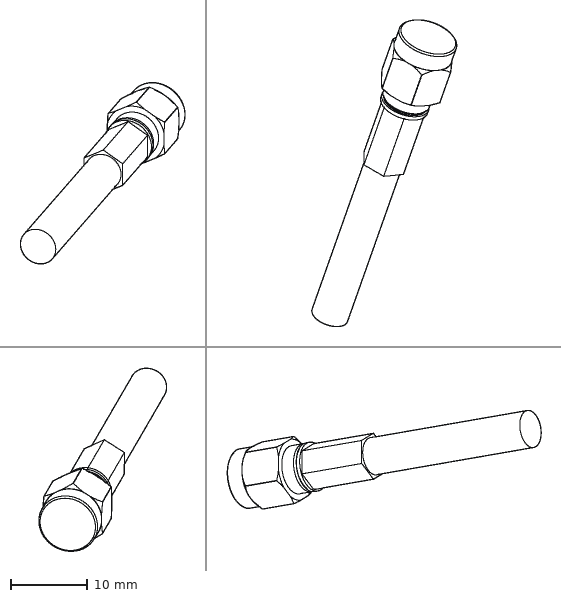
import cadquery as cq
import math

total_length = 45.75
front_y = total_length / 2

nut_start = 2.5
nut_end = 8.3
shoulder_end = 10.45
flange_start = 10.65
flange_end = 11.2
crimp_end = 20.7

nut_flats = 7.9
nut_corner_diameter = 9.1
collar_diameter = nut_flats
shoulder_diameter = 6.4
flange_diameter = 6.5
groove_diameter = 5.95
crimp_flats = 5.4
cable_diameter = 4.95

collar_chamfer = 0.25
shoulder_chamfer = 0.27
nut_front_chamfer = 0.55
nut_rear_chamfer_length = 0.27
nut_rear_diameter = 8.1


def corner_diameter(flats):
    """Diameter across the corners of a regular hexagon."""
    return flats / math.cos(math.pi / 6)


def section_plane(start):
    """Plane square to the axis and facing the cable end."""
    return cq.Workplane("XZ", origin=(0, front_y - start, 0))


def cylinder(diameter, start, end):
    return section_plane(start).circle(diameter / 2).extrude(end - start)


def hexagon(flats, start, end):
    """Hexagonal bar with corners at top and bottom."""
    profile = section_plane(start).transformed(rotate=(0, 0, 90))
    return profile.polygon(6, corner_diameter(flats)).extrude(end - start)


def coupling_nut():
    """Hexagonal nut with slightly rounded corners, trimmed conically at both ends."""
    corner_radius = nut_corner_diameter / 2
    envelope_profile = [
        (0, front_y - nut_start),
        (corner_radius - nut_front_chamfer, front_y - nut_start),
        (corner_radius, front_y - nut_start - nut_front_chamfer),
        (corner_radius, front_y - nut_end + nut_rear_chamfer_length),
        (nut_rear_diameter / 2, front_y - nut_end),
        (0, front_y - nut_end),
    ]
    envelope = cq.Workplane("XY").polyline(envelope_profile).close().revolve(360, (0, 0), (0, 1))
    return hexagon(nut_flats, nut_start, nut_end).intersect(envelope)


collar = cylinder(collar_diameter, 0, nut_start).faces(">Y").chamfer(collar_chamfer)
shoulder = cylinder(shoulder_diameter, nut_end, shoulder_end).faces("<Y").chamfer(shoulder_chamfer)
groove = cylinder(groove_diameter, shoulder_end, flange_start)
flange = cylinder(flange_diameter, flange_start, flange_end)
crimp = hexagon(crimp_flats, flange_end, crimp_end)
cable = cylinder(cable_diameter, crimp_end, total_length)

result = collar
for section in (coupling_nut(), shoulder, groove, flange, crimp, cable):
    result = result.union(section)